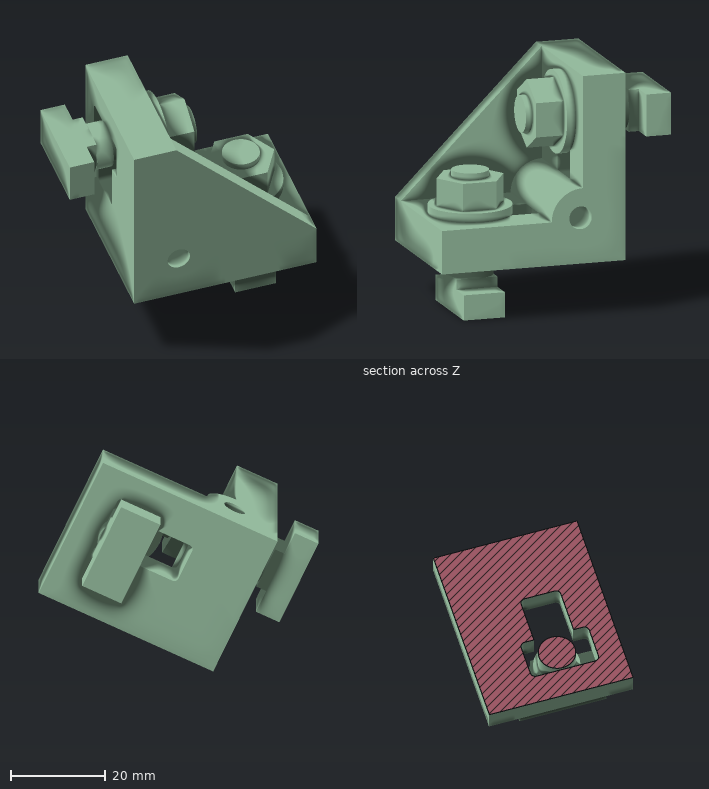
import cadquery as cq

overall_length = 52.5

width = 32.0
leg_length = 41.0
leg_thickness = 9.5
rib_thickness = 4.0
hub_radius = 7.0
pivot_offset = 10.05
pivot_diameter = 5.0

slot_x = 13.05
slot_width = 8.7
slot_start = 15.5
crossbar_length = 15.0
slot_corner_radius = 1.0

bolt_x = 13.7
bolt_position = 30.25
shank_diameter = 8.1
collar_diameter = 10.05
collar_height = 3.75
head_length = 19.35
head_width = 9.2
head_height = 5.5
head_end = overall_length - leg_length
washer_diameter = 18.05
washer_thickness = 2.0
nut_across_corners = 15.0
nut_height = 6.1
shank_overhang = 1.45


def to_upright_leg(shape):
    """Swap Y and Z, moving a shape that is symmetric in X from the base leg to the upright leg."""
    return shape.rotate((0, 0, 0), (0, 1, 1), 180)


def make_slot():
    """T-shaped cutter for the base leg, centred on X = 0, with its crossbar around the bolt."""
    stem_length = bolt_position - slot_start
    stem = (
        cq.Workplane("XY")
        .center(0, slot_start + stem_length / 2)
        .rect(slot_width, stem_length)
        .extrude(leg_thickness)
        .edges("|Z and <Y")
        .fillet(slot_corner_radius)
    )
    crossbar = (
        cq.Workplane("XY")
        .center(0, bolt_position)
        .rect(crossbar_length, slot_width)
        .extrude(leg_thickness)
        .edges("|Z")
        .fillet(slot_corner_radius)
    )
    return stem.union(crossbar)


def make_bracket():
    """L-shaped bracket with a side rib, a rounded hub in the inner corner and a pivot hole."""
    legs = (
        cq.Workplane("YZ")
        .moveTo(0, 0)
        .lineTo(leg_length, 0)
        .lineTo(leg_length, leg_thickness)
        .lineTo(leg_thickness, leg_thickness)
        .lineTo(leg_thickness, leg_length)
        .lineTo(0, leg_length)
        .close()
        .extrude(width)
    )
    rib = (
        cq.Workplane("YZ", origin=(width - rib_thickness, 0, 0))
        .moveTo(leg_thickness, leg_thickness)
        .lineTo(leg_length, leg_thickness)
        .lineTo(leg_thickness, leg_length)
        .close()
        .extrude(rib_thickness)
    )
    hub = (
        cq.Workplane("YZ")
        .moveTo(leg_thickness, leg_thickness)
        .lineTo(leg_thickness + hub_radius, leg_thickness)
        .radiusArc((leg_thickness, leg_thickness + hub_radius), -hub_radius)
        .close()
        .extrude(width)
    )
    pivot_hole = (
        cq.Workplane("YZ")
        .center(pivot_offset, pivot_offset)
        .circle(pivot_diameter / 2)
        .extrude(width)
    )
    slot = make_slot()
    bracket = legs.union(rib).union(hub).cut(pivot_hole)
    for cutter in (slot, to_upright_leg(slot)):
        bracket = bracket.cut(cutter.translate((slot_x, 0, 0)))
    return bracket


def make_fastener():
    """T-bolt with washer and nut clamping the base leg, centred on X = 0."""
    base = cq.Workplane("XY").center(0, bolt_position)
    washer_top = leg_thickness + washer_thickness
    nut_top = washer_top + nut_height
    neck_height = head_end - collar_height - head_height

    shank = base.circle(shank_diameter / 2).extrude(nut_top + shank_overhang)
    collar = base.circle(collar_diameter / 2).extrude(-collar_height)
    neck = (
        base.workplane(offset=-collar_height)
        .rect(head_width, head_width)
        .extrude(-neck_height)
    )
    head = (
        base.workplane(offset=-head_end)
        .rect(head_length, head_width)
        .extrude(head_height)
    )
    washer = (
        base.workplane(offset=leg_thickness)
        .circle(washer_diameter / 2)
        .extrude(washer_thickness)
    )
    nut = (
        base.workplane(offset=washer_top)
        .transformed(rotate=(0, 0, 90))
        .polygon(6, nut_across_corners)
        .extrude(nut_height)
    )
    return shank.union(collar).union(neck).union(head).union(washer).union(nut)


fastener = make_fastener()
result = make_bracket()
for part in (fastener, to_upright_leg(fastener)):
    result = result.union(part.translate((bolt_x, 0, 0)))